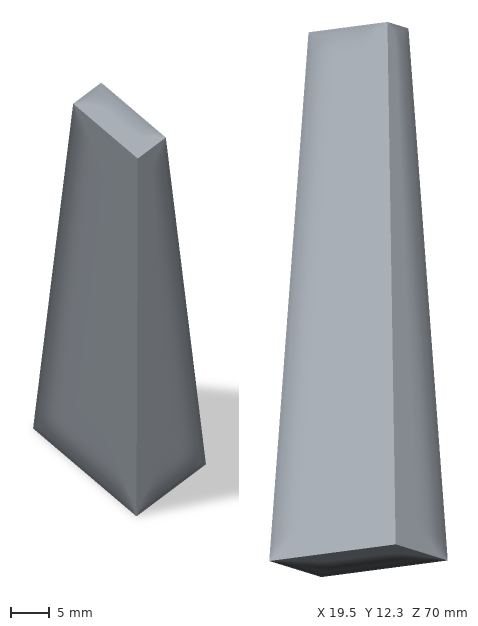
import cadquery as cq

base_length = 19.5
base_width = 12.3
height = 70.0
draft_angle = 3.0

result = (
    cq.Workplane("XY")
    .rect(base_length, base_width)
    .extrude(height, taper=draft_angle)
)